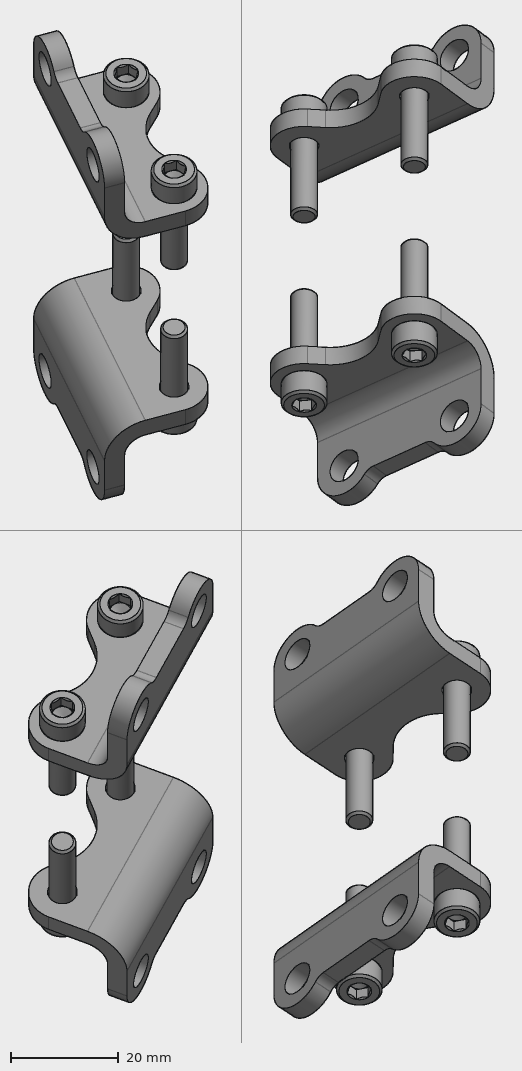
import cadquery as cq
import math

total_height = 94.5

width = 38.5
leg_length = 22.3
thickness = 4.0
outer_bend_radius = 8.0
inner_bend_radius = outer_bend_radius - thickness

hole_pitch = 26.0
lug_x = hole_pitch / 2
lug_radius = (width - hole_pitch) / 2
lug_distance = leg_length - lug_radius
upright_dip_radius = 2.7
upright_dip_bottom = 12.2
flat_leg_dip_radius = 9.0
flat_leg_flank = 3.4
mounting_hole_diameter = 6.6
screw_hole_diameter = 5.5

shank_diameter = 5.0
shank_projection = 16.1
tip_chamfer = 0.5
head_diameter = 8.5
head_height = 5.0
head_chamfer = 0.5
head_underside_chamfer = 0.2
socket_flats = 4.0
socket_corners = socket_flats / math.cos(math.radians(30))
socket_depth = 2.5
socket_cone_depth = 1.1


def angle_section():
    """Full-width bent strip whose outer faces lie on Y = 0 and Z = 0."""
    bend_centre = outer_bend_radius
    diagonal = math.sqrt(0.5)
    outer_middle = bend_centre - outer_bend_radius * diagonal
    inner_middle = bend_centre - inner_bend_radius * diagonal
    return (
        cq.Workplane("YZ")
        .moveTo(0, leg_length)
        .lineTo(0, bend_centre)
        .threePointArc((outer_middle, outer_middle), (bend_centre, 0))
        .lineTo(leg_length, 0)
        .lineTo(leg_length, thickness)
        .lineTo(bend_centre, thickness)
        .threePointArc((inner_middle, inner_middle), (thickness, bend_centre))
        .lineTo(thickness, leg_length)
        .close()
        .extrude(width / 2, both=True)
    )


def lugged_prism(plane, dip_radius, bottom_length=0, flank_length=0):
    """Prism, longer than a leg both ways from the plane, with the lugged outline of a leg.

    Each side of the dip runs tangentially from the lug's arc, along a straight flank if it
    has one, into an arc of dip_radius, which ends level at the bottom of the dip.
    """
    bottom_x = bottom_length / 2
    arc_sum = lug_radius + dip_radius
    flank_angle = (
        math.asin((lug_x - bottom_x) / math.hypot(arc_sum, flank_length))
        - math.atan2(flank_length, arc_sum)
    )
    dip_depth = arc_sum * (1 - math.cos(flank_angle)) + flank_length * math.sin(flank_angle)
    dip_level = leg_length - dip_depth

    def dip_arc_point(angle):
        return (
            bottom_x + dip_radius * math.sin(angle),
            dip_level + dip_radius * (1 - math.cos(angle)),
        )

    lug_end = (
        lug_x - lug_radius * math.sin(flank_angle),
        lug_distance + lug_radius * math.cos(flank_angle),
    )
    half_outline = (
        cq.Workplane(plane)
        .lineTo(width / 2, 0)
        .lineTo(width / 2, lug_distance)
        .threePointArc((lug_x, leg_length), lug_end)
    )
    if flank_length > 0:
        half_outline = half_outline.lineTo(*dip_arc_point(flank_angle))
    half_outline = half_outline.threePointArc(dip_arc_point(flank_angle / 2), (bottom_x, dip_level))
    if bottom_length > 0:
        half_outline = half_outline.lineTo(0, dip_level)
    return half_outline.mirrorY().extrude(2 * leg_length, both=True)


def lug_holes(plane, diameter):
    """Pair of rods, concentric with the lugs, that reach past a leg both ways."""
    return (
        cq.Workplane(plane)
        .pushPoints([(-lug_x, lug_distance), (lug_x, lug_distance)])
        .circle(diameter / 2)
        .extrude(2 * thickness, both=True)
    )


def make_bracket():
    """Bracket with its flat leg on Z = 0 and its upright leg rising from Y = 0."""
    bracket = angle_section()
    upright_shape = lugged_prism("XZ", upright_dip_radius, bottom_length=upright_dip_bottom)
    flat_leg_shape = lugged_prism("XY", flat_leg_dip_radius, flank_length=flat_leg_flank)
    bracket = bracket.intersect(upright_shape).intersect(flat_leg_shape)
    bracket = bracket.cut(lug_holes("XZ", mounting_hole_diameter))
    return bracket.cut(lug_holes("XY", screw_hole_diameter))


def make_socket():
    """Hexagon socket in a head whose top is on Z = 0, with a drill point and a bevelled rim."""
    rim_depth = (socket_corners - socket_flats) / 2
    hexagon = (
        cq.Workplane("XY")
        .transformed(rotate=(0, 0, 90))
        .polygon(6, socket_corners)
        .extrude(-socket_depth)
    )
    drill_point = cq.Solid.makeCone(
        socket_flats / 2, 0, socket_cone_depth, cq.Vector(0, 0, -socket_depth), cq.Vector(0, 0, -1)
    )
    rim = cq.Solid.makeCone(
        socket_corners / 2, socket_flats / 2, rim_depth, cq.Vector(0, 0, 0), cq.Vector(0, 0, -1)
    )
    return hexagon.union(cq.Workplane(drill_point)).union(cq.Workplane(rim))


def make_screw():
    """Screw on the Z axis, with the underside of its head on Z = 0 and its shank below."""
    shank = (
        cq.Workplane("XY")
        .circle(shank_diameter / 2)
        .extrude(-(thickness + shank_projection))
        .faces("<Z")
        .chamfer(tip_chamfer)
    )
    head = (
        cq.Workplane("XY")
        .circle(head_diameter / 2)
        .extrude(head_height)
        .faces(">Z")
        .chamfer(head_chamfer)
        .faces("<Z")
        .chamfer(head_underside_chamfer)
    )
    return head.union(shank).cut(make_socket().translate((0, 0, head_height)))


flat_leg_level = total_height / 2 - leg_length
upper_bracket = make_bracket().translate((0, 0, flat_leg_level))
brackets = [upper_bracket, upper_bracket.mirror("XY")]

screws = []
for screw_x in (-lug_x, lug_x):
    upper_screw = make_screw().translate((screw_x, lug_distance, flat_leg_level + thickness))
    screws.append(upper_screw)
    screws.append(upper_screw.mirror("XY"))

result = cq.Compound.makeCompound([body.val() for body in brackets + screws])